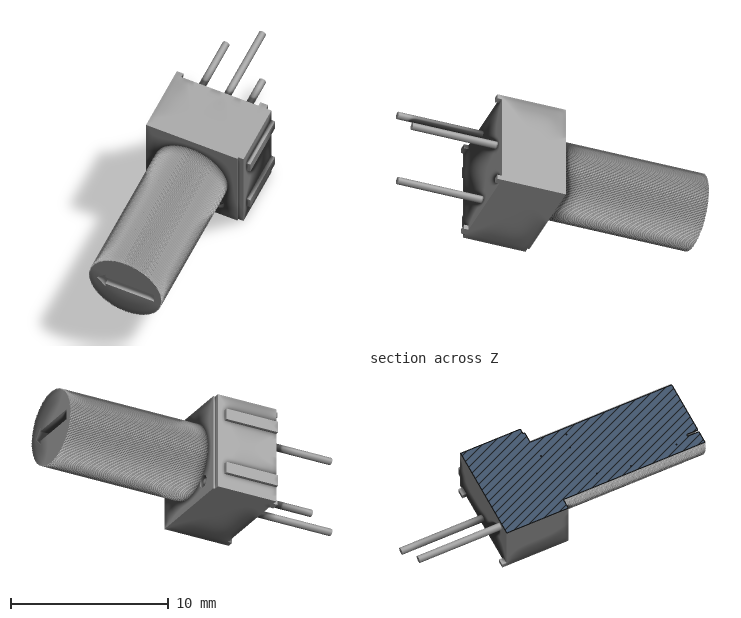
import cadquery as cq
import math


total_width = 6.99
housing_height = 6.60
housing_depth = 4.36
nub_thickness = 0.25
housing_width = total_width - nub_thickness
left_x = -3.15
right_x = left_x + housing_width

cover_thickness = 0.37
cover_setback = 0.13
cover_x = right_x - cover_thickness

nub_height = 0.75
nub_spacing = 3.82
nub_length = 3.75

foot_length = 0.30
foot_height = 0.32
left_foot_width = 0.45
right_foot_width = 0.55

overall_length = 20.09
pin_pitch = 2.54
pin_diameter = 0.48
middle_pin_x = left_x + 0.92
outer_pin_x = middle_pin_x + pin_pitch
pin_embed = 0.5

shaft_length = 9.97
shaft_radius = 2.54
knurl_count = 144
knurl_depth = 0.06
pin_length = overall_length - housing_depth - shaft_length

slot_tip_x = -2.0
slot_end_x = 2.0
slot_width = 0.69
arrow_head_width = 1.2
slot_depth = 0.8

notch_width = 0.30
notch_start_x = left_x + 0.42
notch_depth = 0.10

dome_x = 1.90
dome_z = -2.20
dome_radius = 0.32
pit_radius = 0.42
pit_depth = 0.34


def block(x_min, x_max, y_min, y_max, z_min, z_max):
    """Box given by its limits along each axis."""
    size = (x_max - x_min, y_max - y_min, z_max - z_min)
    return cq.Workplane("XY").box(*size, centered=False).translate((x_min, y_min, z_min))


def make_housing():
    half_height = housing_height / 2
    housing = block(left_x, cover_x, 0, housing_depth, -half_height, half_height)
    cover = block(cover_x, right_x, cover_setback, housing_depth, -half_height, half_height)
    return housing.union(cover)


def make_nubs():
    nubs = cq.Workplane("XY")
    for side in (-1, 1):
        z_min = side * nub_spacing / 2 - nub_height / 2
        nub = block(right_x, right_x + nub_thickness,
                    housing_depth - nub_length, housing_depth,
                    z_min, z_min + nub_height)
        nubs = nubs.add(nub)
    return nubs.combine()


def make_feet():
    feet = cq.Workplane("XY")
    foot_end_y = housing_depth + foot_length
    for z_min in (-housing_height / 2, housing_height / 2 - foot_height):
        z_max = z_min + foot_height
        feet = feet.add(block(left_x, left_x + left_foot_width,
                              housing_depth, foot_end_y, z_min, z_max))
        feet = feet.add(block(cover_x - right_foot_width, cover_x,
                              housing_depth, foot_end_y, z_min, z_max))
    return feet.combine()


def make_pins():
    pin_places = [
        (outer_pin_x, pin_pitch),
        (middle_pin_x, 0),
        (outer_pin_x, -pin_pitch),
    ]
    return (
        cq.Workplane("XZ", origin=(0, housing_depth - pin_embed, 0))
        .pushPoints(pin_places)
        .circle(pin_diameter / 2)
        .extrude(-(pin_length + pin_embed))
    )


def make_shaft():
    """Shaft with straight flat-topped knurls along its whole length."""
    outline = []
    valley_radius = shaft_radius - knurl_depth
    corner_radii = (shaft_radius, shaft_radius, valley_radius, valley_radius)
    corner_count = len(corner_radii) * knurl_count
    corner_step = 2 * math.pi / corner_count
    for corner in range(corner_count):
        radius = corner_radii[corner % len(corner_radii)]
        angle = (corner - 0.5) * corner_step
        outline.append((radius * math.cos(angle), radius * math.sin(angle)))
    return cq.Workplane("XZ").polyline(outline).close().extrude(shaft_length)


def make_arrow_slot():
    """Arrow pointing toward -X with a 45 degree head."""
    half_width = slot_width / 2
    half_head = arrow_head_width / 2
    head_base_x = slot_tip_x + half_head
    return (
        cq.Workplane("XZ", origin=(0, -shaft_length, 0))
        .moveTo(slot_tip_x, 0)
        .lineTo(head_base_x, half_head)
        .lineTo(head_base_x, half_width)
        .lineTo(slot_end_x, half_width)
        .lineTo(slot_end_x, -half_width)
        .lineTo(head_base_x, -half_width)
        .lineTo(head_base_x, -half_head)
        .close()
        .extrude(-slot_depth)
    )


def make_index_notch():
    return block(notch_start_x, -shaft_radius + knurl_depth, 0, notch_depth,
                 -notch_width / 2, notch_width / 2)


def make_dome_pit():
    """Tapered pit that leaves a hemisphere standing on its floor."""
    arc_offset = dome_radius * math.sqrt(0.5)
    half_section = (
        cq.Workplane("XY", origin=(dome_x, 0, dome_z))
        .lineTo(pit_radius, 0)
        .lineTo(dome_radius, pit_depth)
        .threePointArc((arc_offset, pit_depth - arc_offset), (0, pit_depth - dome_radius))
        .close()
    )
    return half_section.revolve(360, (0, 0, 0), (0, 1, 0))


housing = make_housing().cut(make_index_notch()).cut(make_dome_pit())
shaft = make_shaft().cut(make_arrow_slot())
result = housing.union(make_nubs()).union(make_feet()).union(make_pins()).union(shaft)